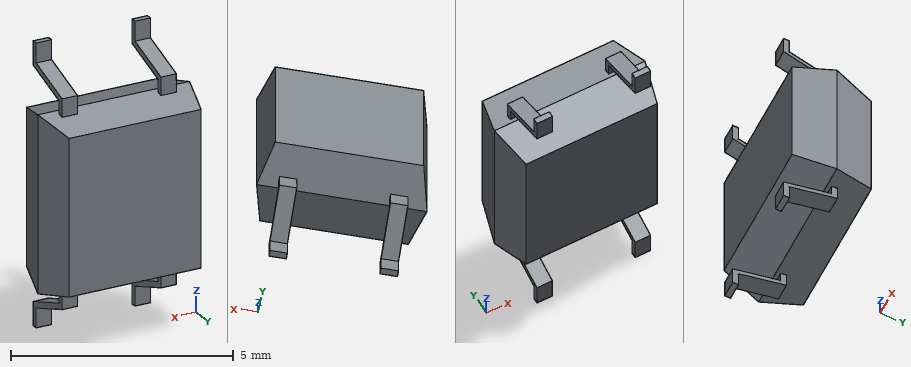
import cadquery as cq

body_width = 3.9
body_height = 4.4
body_depth = 2.0
taper_inset = 0.25

overall_height = 7.0
lead_width = 0.4
lead_thickness = 0.15
lead_pitch = 2.54
lead_back = 0.26
foot_standoff = 0.1
foot_length = 0.595
stub_bend = 2.59
bend_offset = 0.105
embed_depth = 0.56

half_depth = body_depth / 2
half_overall = overall_height / 2


def make_body_half(direction):
    """Tapered half of the body, from the mid-plane toward +Y or -Y."""
    return (
        cq.Workplane("XZ")
        .rect(body_width, body_height)
        .workplane(offset=-direction * half_depth)
        .rect(body_width - 2 * taper_inset, body_height - 2 * taper_inset)
        .loft(ruled=True, combine=True)
    )


def make_upper_lead(x_center):
    """Lead at the +Z end: stub, sloping leg and flat foot."""
    foot_front = -half_depth - foot_standoff
    foot_back = foot_front + lead_thickness
    stub_front = lead_back - lead_thickness
    root = body_height / 2 - embed_depth
    foot_bend = half_overall - foot_length
    profile = [
        (lead_back, root),
        (lead_back, stub_bend),
        (foot_back, foot_bend + bend_offset),
        (foot_back, half_overall),
        (foot_front, half_overall),
        (foot_front, foot_bend),
        (stub_front, stub_bend - bend_offset),
        (stub_front, root),
    ]
    return (
        cq.Workplane("YZ", origin=(x_center, 0, 0))
        .polyline(profile)
        .close()
        .extrude(lead_width / 2, both=True)
    )


result = make_body_half(1).union(make_body_half(-1))
for x_center in (-lead_pitch / 2, lead_pitch / 2):
    upper_lead = make_upper_lead(x_center)
    lower_lead = upper_lead.mirror("XY")
    result = result.union(upper_lead).union(lower_lead)